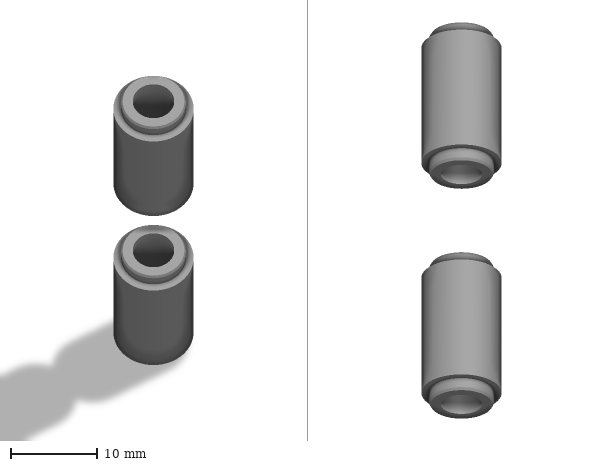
import cadquery as cq
import math

body_diameter = 9.3
collar_diameter = 7.5
bore_diameter = 4.8
body_length = 15.0
collar_length = 1.5

chamfer_height = 0.3
chamfer_angle = 30.0
chamfer_inset = chamfer_height * math.tan(math.radians(chamfer_angle))

bushing_count = 2
bushing_pitch = 30.0

body_radius = body_diameter / 2
collar_radius = collar_diameter / 2
bore_radius = bore_diameter / 2
face_radius = collar_radius - chamfer_inset
half_body = body_length / 2
half_length = half_body + collar_length


def make_bushing(center_z):
    """Bored sleeve with a chamfered, narrower collar at each end."""
    upper_half = [
        (bore_radius, half_length),
        (face_radius, half_length),
        (collar_radius, half_length - chamfer_height),
        (collar_radius, half_body),
        (body_radius, half_body),
    ]
    lower_half = [(radius, -height) for radius, height in reversed(upper_half)]
    section = cq.Workplane("XZ").polyline(upper_half + lower_half).close()
    bushing = section.revolve(360, (0, 0, 0), (0, 1, 0))
    return bushing.translate((0, 0, center_z))


lowest_center = -(bushing_count - 1) * bushing_pitch / 2
bushings = [
    make_bushing(lowest_center + index * bushing_pitch)
    for index in range(bushing_count)
]

result = cq.Compound.makeCompound([bushing.val() for bushing in bushings])